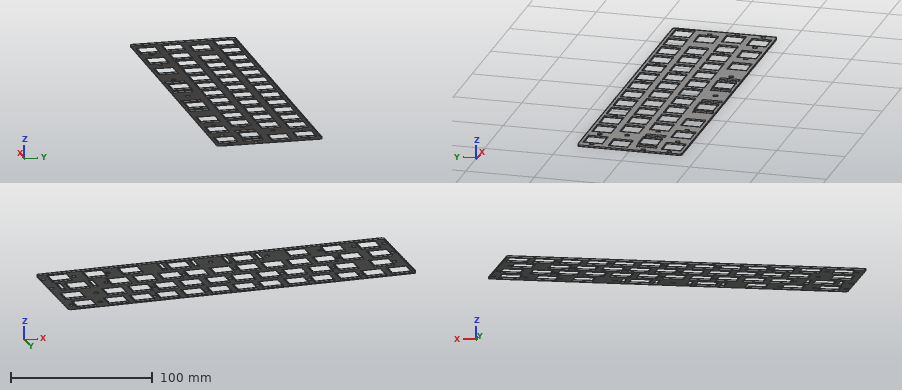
import cadquery as cq

plate_length = 257.2
length_in_keys = 13.5
row_count = 4
key_pitch = plate_length / length_in_keys
plate_width = row_count * key_pitch
plate_thickness = 1.18
corner_radius = 2.0

steps_per_key = 16
grid_step = key_pitch / steps_per_key

cell_margin_x = 2.15
cell_margin_y = 2.52
switch_length = key_pitch - 2 * cell_margin_x
switch_width = key_pitch - 2 * cell_margin_y

slot_length = 3.3
slot_width = 14.1
slot_steps_from_switch = 10
slot_drop = 0.65

hole_radius = 1.6


def run_of_keys(first_position, key_count):
    """Grid positions of a run of adjacent one-unit keys."""
    return [first_position + key * steps_per_key for key in range(key_count)]


switch_rows = [
    [12, *run_of_keys(32, 12)],
    [10, *run_of_keys(36, 10), 202],
    [18, *run_of_keys(44, 10), 206],
    [12, 34, 56, 86, 126, 160, 182, 204],
]

stabilized_rows = [[], [], [18], [86, 126]]

hole_rows = [
    [4, 22, 56, 88, 120, 152, 184],
    [24.5, 60, 108, 140, 172, 210],
    [2, 36, 84, 116, 180, 214],
    [2, 21, 42, 106.1, 141.1, 174, 195, 214],
]


def plate_points(rows):
    """Turn rows of grid positions into points about the plate centre."""
    return [
        (position * grid_step - plate_length / 2, ((row_count - 1) / 2 - row) * key_pitch)
        for row, positions in enumerate(rows)
        for position in positions
    ]


def make_plate():
    """Plain plate with rounded vertical corners."""
    blank = cq.Workplane("XY").box(plate_length, plate_width, plate_thickness)
    return blank.edges("|Z").fillet(corner_radius)


def cut_switches(plate):
    """Cut a rectangular opening through the plate for every switch."""
    openings = plate.faces(">Z").workplane().pushPoints(plate_points(switch_rows))
    return openings.rect(switch_length, switch_width).cutThruAll()


def cut_stabilizer_slots(plate):
    """Cut a narrow slot on each side of every stabilized switch."""
    slot_points = [
        (x + side * slot_steps_from_switch * grid_step, y - slot_drop)
        for x, y in plate_points(stabilized_rows)
        for side in (-1, 1)
    ]
    slots = plate.faces(">Z").workplane().pushPoints(slot_points)
    return slots.rect(slot_length, slot_width).cutThruAll()


def drill_mounting_holes(plate):
    """Drill the round mounting holes through the plate."""
    holes = plate.faces(">Z").workplane().pushPoints(plate_points(hole_rows))
    return holes.circle(hole_radius).cutThruAll()


result = drill_mounting_holes(cut_stabilizer_slots(cut_switches(make_plate())))